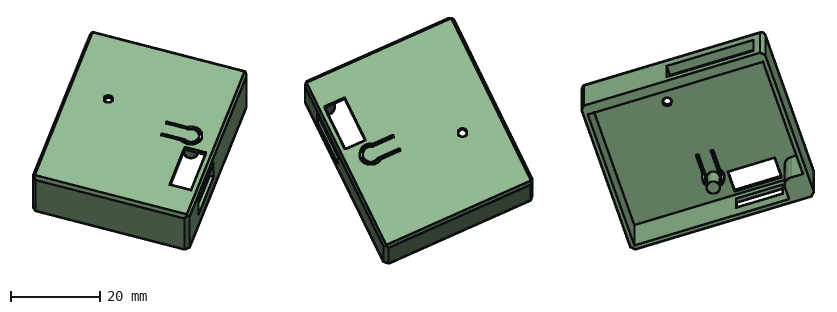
import cadquery as cq

length_x = 37.0
length_y = 43.4
height = 12.6
wall = 1.0
window_wall = 2.35
corner_chamfer = 0.9
top_chamfer_inset = 0.55
top_chamfer_drop = 1.0

left = -length_x / 2
right = length_x / 2
front = -length_y / 2
roof_underside = height - wall

window_front_y = -19.2
window_back_y = 1.3
window_top = 8.38
sill_outer_z = 2.15
sill_inner_z = 4.2
sill_slope_depth = 1.6

port_front_y = -14.32
port_back_y = -3.25
port_top = 9.3
roof_opening_left = 11.67
roof_opening_right = 16.7

button_x = 12.02
button_y = 0.25
button_slot_diameter = 5.0
button_head_diameter = 3.65
button_arm_start_x = 5.6
button_slot_width = 4.0
button_arm_width = 3.0
button_pin_diameter = 3.0
button_pin_bottom = 6.05

hole_x = -8.8
hole_y = 4.35
hole_diameter = 2.0

post_diameter = 4.0
post_inset = 3.85


def box_between(x0, x1, y0, y1, z0, z1):
    """Box given by its lower and upper limits along each axis."""
    return cq.Workplane("XY").box(x1 - x0, y1 - y0, z1 - z0, centered=False).translate((x0, y0, z0))


def cylinder(x, y, diameter, z0, z1):
    """Vertical cylinder between two heights."""
    return cq.Workplane("XY", origin=(x, y, z0)).circle(diameter / 2).extrude(z1 - z0)


def make_shell():
    """Chamfered box, hollow from below, with a thicker -X wall."""
    case = cq.Workplane("XY").box(length_x, length_y, height, centered=(True, True, False))
    for plane, width, depth in (("XZ", length_x, length_y), ("YZ", length_y, length_x)):
        half = width / 2
        profile = (
            cq.Workplane(plane)
            .moveTo(-half, 0)
            .lineTo(half, 0)
            .lineTo(half, height - top_chamfer_drop)
            .lineTo(half - top_chamfer_inset, height)
            .lineTo(-half + top_chamfer_inset, height)
            .lineTo(-half, height - top_chamfer_drop)
            .close()
            .extrude(depth / 2, both=True)
        )
        case = case.intersect(profile)
    bevelled_corners = (
        cq.Workplane("XY")
        .rect(length_x, length_y)
        .extrude(height)
        .edges("|Z")
        .chamfer(corner_chamfer)
    )
    cavity = box_between(left + window_wall, right - wall, front + wall, -front - wall, 0, roof_underside)
    return case.intersect(bevelled_corners).cut(cavity)


def make_window():
    """Cutter through the -X wall whose floor rises inward to a flat ledge."""
    inner = left + window_wall
    return (
        cq.Workplane("XZ", origin=(0, window_back_y, 0))
        .moveTo(left, sill_outer_z)
        .lineTo(left + sill_slope_depth, sill_inner_z)
        .lineTo(inner, sill_inner_z)
        .lineTo(inner, window_top)
        .lineTo(left, window_top)
        .close()
        .extrude(window_back_y - window_front_y)
    )


def make_button_slot():
    """Keyhole-shaped slot that leaves a round button on a flexible arm."""

    def keyhole(head_diameter, arm_width):
        head = cylinder(button_x, button_y, head_diameter, roof_underside, height)
        arm = box_between(
            button_arm_start_x, button_x,
            button_y - arm_width / 2, button_y + arm_width / 2,
            roof_underside, height,
        )
        return head.union(arm)

    outer = keyhole(button_slot_diameter, button_slot_width)
    return outer.cut(keyhole(button_head_diameter, button_arm_width))


def make_corner_post():
    """Round post tied to the front and +X walls by a flat-sided block."""
    x = right - post_inset
    y = front + post_inset
    radius = post_diameter / 2
    post = cylinder(x, y, post_diameter, 0, roof_underside)
    front_block = box_between(x - radius, right - wall, front + wall, y, 0, roof_underside)
    side_block = box_between(x, right - wall, y, y + radius, 0, roof_underside)
    return post.union(front_block).union(side_block)


port = box_between(right - wall, right, port_front_y, port_back_y, sill_inner_z, port_top)
roof_opening = box_between(
    roof_opening_left, roof_opening_right, port_front_y, port_back_y, roof_underside, height
)
roof_hole = cylinder(hole_x, hole_y, hole_diameter, roof_underside, height)
button_pin = cylinder(button_x, button_y, button_pin_diameter, button_pin_bottom, roof_underside)

result = (
    make_shell()
    .union(make_corner_post())
    .cut(make_window())
    .cut(port)
    .cut(roof_opening)
    .cut(roof_hole)
    .cut(make_button_slot())
    .union(button_pin)
)